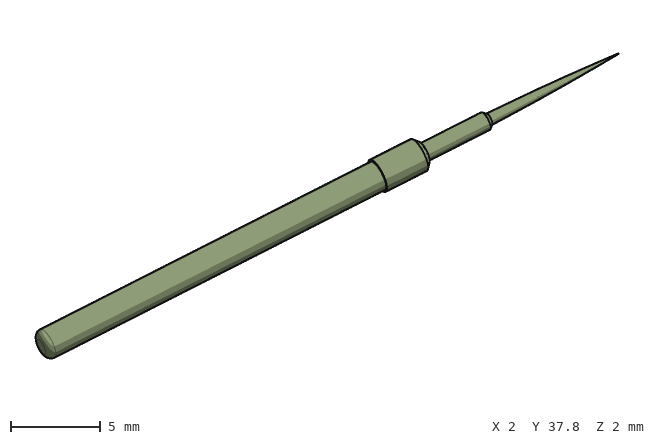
import cadquery as cq

total_length = 37.8
tip_end = total_length / 2
shaft_end = -total_length / 2

tip_radius = 0.02
needle_radius = 0.36
neck_radius = 0.548
collar_radius = 1.0
shaft_radius = 0.89

needle_length = 8.45
neck_length = 4.3
collar_length = 3.0

neck_chamfer_length = 0.23
collar_chamfer = 0.3
shaft_end_fillet = 0.4

needle_base = tip_end - needle_length
collar_front = needle_base - neck_length
collar_back = collar_front - collar_length

flank_bulge = 0.053
flank_mid_y = (tip_end + needle_base) / 2
flank_mid_radius = (tip_radius + needle_radius) / 2 + flank_bulge

profile = (
    cq.Workplane("XY")
    .moveTo(0, tip_end)
    .lineTo(tip_radius, tip_end)
    .threePointArc((flank_mid_radius, flank_mid_y), (needle_radius, needle_base))
    .lineTo(neck_radius, needle_base - neck_chamfer_length)
    .lineTo(neck_radius, collar_front)
    .lineTo(collar_radius - collar_chamfer, collar_front)
    .lineTo(collar_radius, collar_front - collar_chamfer)
    .lineTo(collar_radius, collar_back)
    .lineTo(shaft_radius, collar_back)
    .lineTo(shaft_radius, shaft_end)
    .lineTo(0, shaft_end)
    .close()
)

body = profile.revolve(360, (0, 0, 0), (0, 1, 0))

result = body.faces("<Y").edges().fillet(shaft_end_fillet)